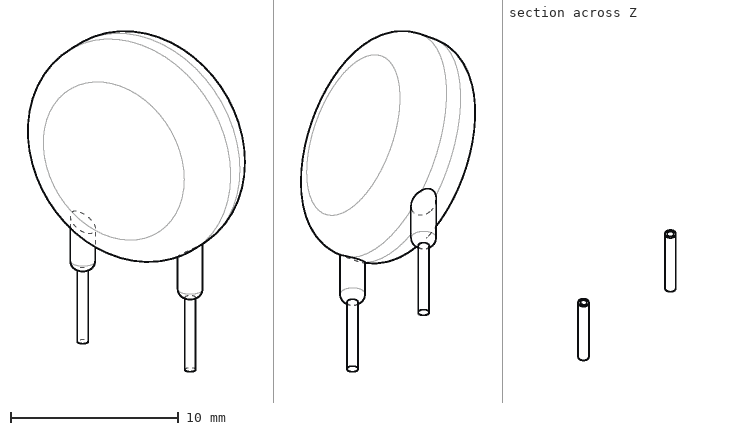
import cadquery as cq

disc_diameter = 14.0
disc_thickness = 5.0
rim_radius = 2.0

lead_spacing = 7.62
collar_diameter = 1.5
collar_bottom_round = 0.55
wire_diameter = 0.65
wire_length = 4.7
overall_height = 20.6

wire_bottom_z = disc_diameter / 2 - overall_height
collar_bottom_z = wire_bottom_z + wire_length


def make_disc():
    """Flat round disc with both rims rounded."""
    return (
        cq.Workplane("XZ", origin=(0, disc_thickness / 2, 0))
        .circle(disc_diameter / 2)
        .extrude(disc_thickness)
        .faces("<Y or >Y")
        .edges()
        .fillet(rim_radius)
    )


def make_collar(x, disc):
    """Round collar, rounded at the bottom and shaped at the top to seat on the disc."""
    blank = (
        cq.Workplane("XY", origin=(x, 0, collar_bottom_z))
        .circle(collar_diameter / 2)
        .extrude(-collar_bottom_z)
        .faces("<Z")
        .edges()
        .fillet(collar_bottom_round)
    )
    return blank.cut(disc)


def make_wire(x):
    """Bare wire butting against the underside of its collar."""
    return (
        cq.Workplane("XY", origin=(x, 0, wire_bottom_z))
        .circle(wire_diameter / 2)
        .extrude(wire_length)
    )


disc = make_disc()
collars = []
wires = []
for side in (-1, 1):
    lead_x = side * lead_spacing / 2
    collars.append(make_collar(lead_x, disc).val())
    wires.append(make_wire(lead_x).val())

result = cq.Compound.makeCompound([disc.val(), *collars, *wires])